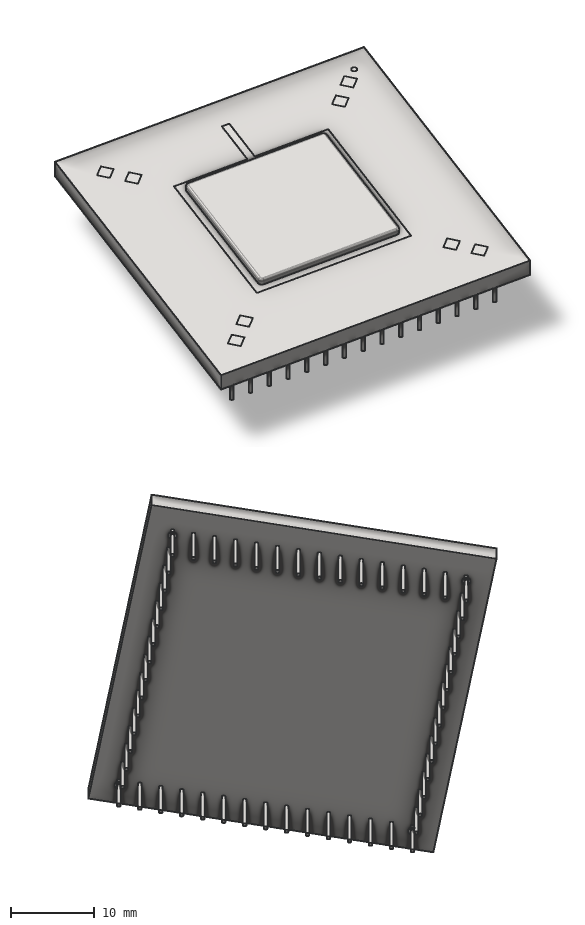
import cadquery as cq

base_side = 41.8
base_thickness = 2.4

pins_per_side = 15
pin_span = 35.57
pin_pitch = pin_span / (pins_per_side - 1)
pin_diameter = 0.45
pin_length = 5.5
stop_diameter = 1.0
stop_thickness = 0.1
stop_drop = 1.0

plating_thickness = 0.01
pad_side = 1.6
pad_turn = 45.0
pad_offsets = (14.0, 16.45)
dot_diameter = 0.7
dot_offset = 18.05

frame_side = 20.85
track_width = 1.0
track_end = 16.85

lid_side = 19.0
lid_top = 0.88
lid_corner_radius = 0.5
lid_edge_radius = 0.3

quadrants = [(sx, sy) for sx in (-1, 1) for sy in (-1, 1)]
pin_row = [-pin_span / 2 + i * pin_pitch for i in range(pins_per_side)]
row_ends = (pin_row[0], pin_row[-1])


def disc(x, y, top, diameter, height):
    """Vertical cylinder hanging down from the height `top`."""
    return cq.Workplane("XY", origin=(x, y, top - height)).circle(diameter / 2).extrude(height)


def add_pins(base):
    """Ring of pins under the base; the four corner pins carry stop discs."""
    underside = -base_thickness
    for x in pin_row:
        for y in pin_row:
            if x in row_ends or y in row_ends:
                base = base.union(disc(x, y, underside, pin_diameter, pin_length))
            if x in row_ends and y in row_ends:
                base = base.union(disc(x, y, underside - stop_drop, stop_diameter, stop_thickness))
    return base


def add_marks(base):
    """Two diamond pads along each diagonal and a round index dot near the -X +Y corner."""
    pad = cq.Workplane("XY").rect(pad_side, pad_side).extrude(plating_thickness)
    pad = pad.rotate((0, 0, 0), (0, 0, 1), pad_turn)
    for offset in pad_offsets:
        for sx, sy in quadrants:
            base = base.union(pad.translate((sx * offset, sy * offset, 0)))
    return base.union(disc(-dot_offset, dot_offset, plating_thickness, dot_diameter, plating_thickness))


def make_base():
    """Square plate with its top at Z = 0, carrying the pins, pads and index dot."""
    plate = cq.Workplane("XY").rect(base_side, base_side).extrude(-base_thickness)
    return add_marks(add_pins(plate))


def make_seal_frame():
    """Square plating under the lid with a narrow track running toward -X."""
    square = cq.Workplane("XY").rect(frame_side, frame_side).extrude(plating_thickness)
    track = (
        cq.Workplane("XY", origin=(-track_end / 2, 0, 0))
        .rect(track_end, track_width)
        .extrude(plating_thickness)
    )
    return square.union(track)


def make_lid():
    """Flat square lid with rounded corners and a rounded top edge, standing on the seal frame."""
    lid_height = lid_top - plating_thickness
    lid = cq.Workplane("XY", origin=(0, 0, plating_thickness)).rect(lid_side, lid_side).extrude(lid_height)
    lid = lid.edges("|Z").fillet(lid_corner_radius)
    return lid.faces(">Z").edges().fillet(lid_edge_radius)


base = make_base()
seal_frame = make_seal_frame()
lid = make_lid()

result = cq.Compound.makeCompound([base.val(), seal_frame.val(), lid.val()])